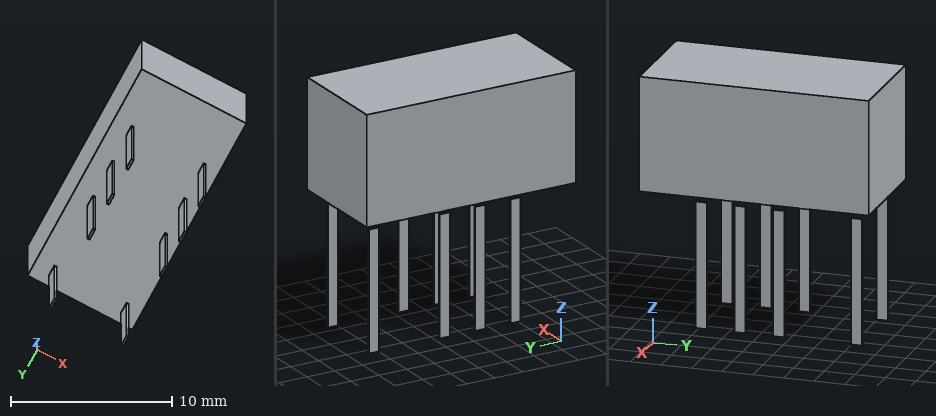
import cadquery as cq

housing_width = 7.38
housing_length = 15.01
housing_height = 7.53

overall_height = 16.48
pin_height = 8.29
pin_thickness = 0.15
pin_breadth = 0.73
pin_pitch = 2.54
row_spacing = 2 * pin_pitch
first_pin_y = 6.35
pin_steps = (0, 2, 3, 4)

pin_bottom = 0.0
housing_bottom = overall_height - housing_height


def make_housing():
    return cq.Workplane("XY", origin=(0, 0, housing_bottom)).box(
        housing_width, housing_length, housing_height, centered=(True, True, False)
    )


def make_pin(x, y):
    return cq.Workplane("XY", origin=(x, y, pin_bottom)).box(
        pin_thickness, pin_breadth, pin_height, centered=(True, True, False)
    )


housing = make_housing()

pins = []
for row_x in (-row_spacing / 2, row_spacing / 2):
    for step in pin_steps:
        pin_y = first_pin_y - step * pin_pitch
        pins.append(make_pin(row_x, pin_y).val())

result = cq.Compound.makeCompound([housing.val(), *pins])